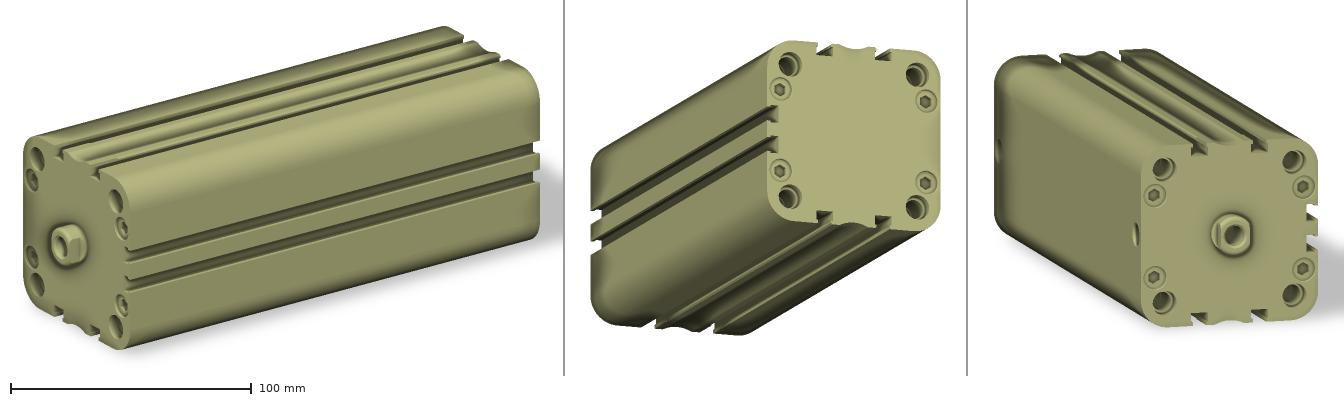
import cadquery as cq
import math

total_length = 217.0
body_width = 77.0
rod_projection = 8.2
body_length = total_length - rod_projection
cap_length = 13.7
corner_radius = 12.0
half_width = body_width / 2

slot_mouth = 5.9
slot_inner_width = 7.4
top_slot_depth = 5.5
side_slot_depth = 5.0
slot_lip = 1.5
top_slot_offset = 13.0
side_slot_offset = 6.5
rib_chamfer = 0.7

groove_width = 12.5
groove_depth = 1.5

mount_offset = 28.2
mount_bore_diameter = 6.7
mount_thread_diameter = 8.0
mount_thread_depth = 17.4
mount_recess_diameter = 10.5
mount_recess_depth = 4.3

screw_x = 32.3
screw_z = 17.4
screw_mouth_diameter = 10.2
screw_recess_diameter = 9.8
screw_mouth_chamfer = (screw_mouth_diameter - screw_recess_diameter) / 2
screw_head_drop = 1.3
socket_across_flats = 5.0
socket_depth = 2.5

port_from_end = 7.2
port_mouth_diameter = 10.2
port_diameter = 8.5
port_chamfer = (port_mouth_diameter - port_diameter) / 2
port_depth = 8.7
passage_diameter = 4.0
passage_shift = 1.3
passage_depth = 13.0

rod_diameter = 16.5
rod_tip_fillet = 1.7
flat_width = 12.5
flat_start = 2.5
flat_runout = 1.5
thread_bore_diameter = 8.5
thread_bore_depth = 17.4
thread_mouth_diameter = 10.2
thread_chamfer = (thread_mouth_diameter - thread_bore_diameter) / 2


def along_y(diameter, start, length):
    """Cylinder on the Y axis, running to +Y from y = start."""
    return cq.Workplane("XZ", origin=(0, start, 0)).circle(diameter / 2).extrude(-length)


def at_four_corners(tool, x, z):
    """Copies of a tool on the Y axis, moved to (+-x, +-z)."""
    copies = cq.Workplane("XY")
    for side in (-1, 1):
        for level in (-1, 1):
            copies = copies.add(tool.translate((side * x, 0, level * z)))
    return copies.combine()


def at_both_ends(tool):
    """A tool and its mirror image about the middle of the body."""
    return tool.union(tool.mirror("XZ", (0, body_length / 2, 0)))


def top_slot(offset, depth):
    """Slot in the +Z face, running the whole length."""
    mouth = cq.Workplane("XY").box(slot_mouth, body_length, depth, centered=(True, False, False))
    channel = cq.Workplane("XY").box(
        slot_inner_width, body_length, depth - slot_lip, centered=(True, False, False)
    )
    return mouth.union(channel).translate((offset, 0, half_width - depth))


def top_rib_chamfer(side):
    """Bevel on the rib edge of a top slot, starting behind the front cap."""
    rib_edge = side * (top_slot_offset - slot_mouth / 2)
    return (
        cq.Workplane("XZ", origin=(0, cap_length, 0))
        .moveTo(rib_edge, half_width)
        .lineTo(rib_edge - side * rib_chamfer, half_width)
        .lineTo(rib_edge, half_width - rib_chamfer)
        .close()
        .extrude(cap_length - body_length)
    )


def top_groove():
    """Circular-arc groove along the middle of the top face."""
    return (
        cq.Workplane("XZ")
        .moveTo(-groove_width / 2, half_width)
        .threePointArc((0, half_width - groove_depth), (groove_width / 2, half_width))
        .close()
        .extrude(-body_length)
    )


def make_body():
    body = (
        cq.Workplane("XY")
        .box(body_width, body_length, body_width, centered=(True, False, True))
        .edges("|Y")
        .fillet(corner_radius)
    )
    top_cuts = top_groove()
    for side in (-1, 1):
        slot = top_slot(side * top_slot_offset, top_slot_depth)
        top_cuts = top_cuts.union(slot).union(top_rib_chamfer(side))
    body = body.cut(top_cuts).cut(top_cuts.mirror("XY"))
    for side in (-1, 1):
        slot = top_slot(side * side_slot_offset, side_slot_depth)
        body = body.cut(slot.rotate((0, 0, 0), (0, 1, 0), 90))
    return body


def mounting_holes():
    steps = along_y(mount_recess_diameter, 0, mount_recess_depth).union(
        along_y(mount_thread_diameter, 0, mount_thread_depth)
    )
    hole = at_both_ends(steps).union(along_y(mount_bore_diameter, 0, body_length))
    return at_four_corners(hole, mount_offset, mount_offset)


def screw_recesses():
    """Recess down to each sunk screw head, plus the hexagon socket in the head."""
    recess = along_y(screw_recess_diameter, 0, screw_head_drop)
    mouth = (
        cq.Workplane("XZ")
        .circle(screw_mouth_diameter / 2)
        .workplane(offset=-screw_mouth_chamfer)
        .circle(screw_recess_diameter / 2)
        .loft()
    )
    across_corners = socket_across_flats / math.cos(math.pi / 6)
    socket = (
        cq.Workplane("XZ", origin=(0, screw_head_drop, 0))
        .transformed(rotate=(0, 0, 90))
        .polygon(6, across_corners)
        .extrude(-socket_depth)
    )
    return at_both_ends(at_four_corners(recess.union(mouth).union(socket), screw_x, screw_z))


def air_ports():
    side_plane = cq.Workplane("YZ", origin=(-half_width, port_from_end, 0))
    bore = side_plane.circle(port_diameter / 2).extrude(port_depth)
    mouth = (
        side_plane.circle(port_mouth_diameter / 2)
        .workplane(offset=port_chamfer)
        .circle(port_diameter / 2)
        .loft()
    )
    passage = side_plane.center(passage_shift, 0).circle(passage_diameter / 2).extrude(passage_depth)
    return at_both_ends(bore.union(mouth).union(passage))


def make_rod():
    """Stub of the rod with two wrench flats on the X sides."""
    radius = rod_diameter / 2
    tip = -rod_projection
    rod = along_y(rod_diameter, tip, rod_projection).faces("<Y").edges().fillet(rod_tip_fillet)
    flat_cut = (
        cq.Workplane("XY")
        .moveTo(flat_width / 2, tip)
        .lineTo(flat_width / 2, -flat_start)
        .lineTo(radius, flat_runout - flat_start)
        .lineTo(rod_diameter, flat_runout - flat_start)
        .lineTo(rod_diameter, tip)
        .close()
        .extrude(radius, both=True)
    )
    return rod.cut(flat_cut).cut(flat_cut.mirror("YZ"))


def rod_thread_bore():
    """Blind bore in the rod tip with a chamfered mouth."""
    mouth_radius = thread_mouth_diameter / 2
    bore_radius = thread_bore_diameter / 2
    tip = -rod_projection
    return (
        cq.Workplane("XY")
        .moveTo(0, tip)
        .lineTo(mouth_radius, tip)
        .lineTo(bore_radius, tip + thread_chamfer)
        .lineTo(bore_radius, tip + thread_bore_depth)
        .lineTo(0, tip + thread_bore_depth)
        .close()
        .revolve(360, (0, 0, 0), (0, 1, 0))
    )


body = make_body().cut(mounting_holes()).cut(screw_recesses()).cut(air_ports())
result = body.union(make_rod()).cut(rod_thread_bore())